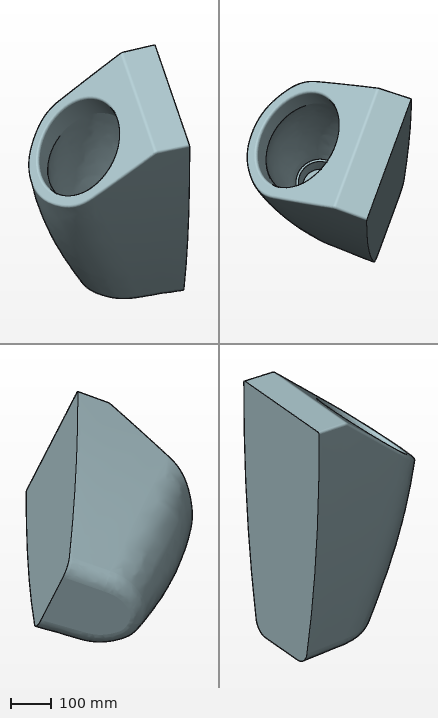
import cadquery as cq
import math

HEIGHT = 680.55
BACK_STRIP = 8.5
SIDE_TAPER = 4.5
SHOULDER_DEPTH = 100.0
SHOULDER_LEAN = 0.265
TOP_DEPTH = 86.0
FACE_ANGLE = 39.9
BOTTOM_RISE = 11.0
BOTTOM_DEPTH = 228.0
BOTTOM_FILLET = 42.0
RIM_FILLET = 6.0
CREST_FILLET = 13.0
OVERSIZE = 800.0

EDGE_MARGIN = 0.5

BODY_SECTIONS = [
    (0.0, 104.0, BOTTOM_DEPTH),
    (200.0, 136.5, 303.0),
    (400.0, 155.8, 352.5),
    (580.0, 163.4, 369.8),
    (HEIGHT, 164.0, 371.0),
]

OPENING_DEPTH = 239.0
OPENING_RADIUS = 126.5
OPENING_FILLET = 6.0

COLLAR_RADIUS = 121.5
COLLAR_DEPTH = 209.0
COLLAR_HEIGHT = HEIGHT - 185.0
COLLAR_ANGLE = 31.0

DRAIN_DEPTH = 180.0
BOWL_MIDDLE_RADIUS = 107.0
BOWL_MIDDLE_HEIGHT = 330.0
BOWL_MIDDLE_ANGLE = 15.0
BOWL_MIDDLE_DEPTH = 192.0
DRAIN_RIM_RADIUS = 67.0
DRAIN_RIM_HEIGHT = 200.0
DRAIN_LEDGE_RADIUS = 60.0
DRAIN_LEDGE_HEIGHT = 185.0
DRAIN_SEAT_RADIUS = 54.0
DRAIN_FLOOR_RADIUS = 43.0
DRAIN_FLOOR_HEIGHT = 150.0


def face_height(depth):
    """Height of the sloping face at a distance from the wall."""
    return HEIGHT - (depth - TOP_DEPTH) * math.tan(math.radians(FACE_ANGLE))


def tilted_plane(depth, height, angle):
    """Plane facing up, leaning toward -Y by an angle in degrees (toward +Y if negative)."""
    lean = math.radians(angle)
    return cq.Plane(
        origin=(0, -depth, height),
        xDir=(1, 0, 0),
        normal=(0, -math.sin(lean), math.cos(lean)),
    )


def circle_wire(depth, height, angle, radius):
    """Circle on a tilted plane, starting and ending on the symmetry plane."""
    plane = tilted_plane(depth, height, angle).rotated((0, 0, 90))
    return cq.Workplane(plane).circle(radius).wire().val()


def body_section(height, half_width, depth):
    """Right half of a D-shaped outline: a straight band, a tapering side, a quarter-ellipse front."""
    front_half_width = half_width - SIDE_TAPER
    shoulder = SHOULDER_DEPTH + SHOULDER_LEAN * height
    round_depth = depth - shoulder
    diagonal = math.sqrt(0.5)
    front_points = [
        (front_half_width * diagonal, -shoulder - round_depth * diagonal),
        (0, -depth),
    ]
    return (
        cq.Workplane("XY", origin=(0, 0, height))
        .lineTo(half_width, 0)
        .lineTo(half_width, -BACK_STRIP)
        .lineTo(front_half_width, -shoulder)
        .spline(front_points, tangents=[(0, -1), (-1, 0)], includeCurrent=True)
        .close()
        .val()
    )


def cutting_block(plane, thickness):
    """Large slab on one side of a plane; a negative thickness puts it below."""
    return cq.Workplane(plane).rect(OVERSIZE, 2 * OVERSIZE).extrude(thickness)


def outer_edges(faces):
    """Edges of the faces that lie off the wall and off the symmetry plane."""
    away = cq.selectors.BoxSelector(
        (EDGE_MARGIN, -EDGE_MARGIN, -OVERSIZE), (OVERSIZE, -OVERSIZE, OVERSIZE)
    )
    return faces.edges(away)


def make_body():
    body = cq.Workplane(cq.Solid.makeLoft([body_section(*section) for section in BODY_SECTIONS]))
    face_plane = tilted_plane(TOP_DEPTH, HEIGHT, FACE_ANGLE)
    bottom_angle = -math.degrees(math.atan(BOTTOM_RISE / BOTTOM_DEPTH))
    bottom_plane = tilted_plane(0, 0, bottom_angle)
    body = body.cut(cutting_block(face_plane, OVERSIZE)).cut(cutting_block(bottom_plane, -OVERSIZE))
    body = outer_edges(body.faces("<Z")).fillet(BOTTOM_FILLET)
    crest = body.faces(">Z").edges("<Y")
    body = crest.fillet(CREST_FILLET)
    top_face = body.faces(">Z")
    sloping_face = body.faces(cq.selectors.DirectionMinMaxSelector(face_plane.zDir, True))
    side_edges = outer_edges(top_face.add(sloping_face)).edges("not |X")
    return side_edges.fillet(RIM_FILLET)


def make_bowl():
    """Hollow of the bowl: opening wall, rounded bowl and stepped drain, one below the other."""
    opening = circle_wire(OPENING_DEPTH, face_height(OPENING_DEPTH), FACE_ANGLE, OPENING_RADIUS)
    collar = circle_wire(COLLAR_DEPTH, COLLAR_HEIGHT, COLLAR_ANGLE, COLLAR_RADIUS)
    middle = circle_wire(BOWL_MIDDLE_DEPTH, BOWL_MIDDLE_HEIGHT, BOWL_MIDDLE_ANGLE, BOWL_MIDDLE_RADIUS)
    drain_rim = circle_wire(DRAIN_DEPTH, DRAIN_RIM_HEIGHT, 0, DRAIN_RIM_RADIUS)
    ledge = circle_wire(DRAIN_DEPTH, DRAIN_LEDGE_HEIGHT, 0, DRAIN_LEDGE_RADIUS)
    seat = circle_wire(DRAIN_DEPTH, DRAIN_LEDGE_HEIGHT, 0, DRAIN_SEAT_RADIUS)
    floor = circle_wire(DRAIN_DEPTH, DRAIN_FLOOR_HEIGHT, 0, DRAIN_FLOOR_RADIUS)
    bowl = cq.Workplane(cq.Solid.makeLoft([opening, collar], True))
    bowl = bowl.union(cq.Workplane(cq.Solid.makeLoft([collar, middle, drain_rim])))
    bowl = bowl.union(cq.Workplane(cq.Solid.makeLoft([drain_rim, ledge], True)))
    return bowl.union(cq.Workplane(cq.Solid.makeLoft([seat, floor], True)))


def make_half():
    half = make_body().cut(make_bowl())
    opening_edge = half.edges(
        cq.selectors.NearestToPointSelector(
            (OPENING_RADIUS / 2, -OPENING_DEPTH, face_height(OPENING_DEPTH))
        )
    )
    return opening_edge.fillet(OPENING_FILLET)


half = make_half()
result = half.union(half.mirror("YZ"), clean=False)